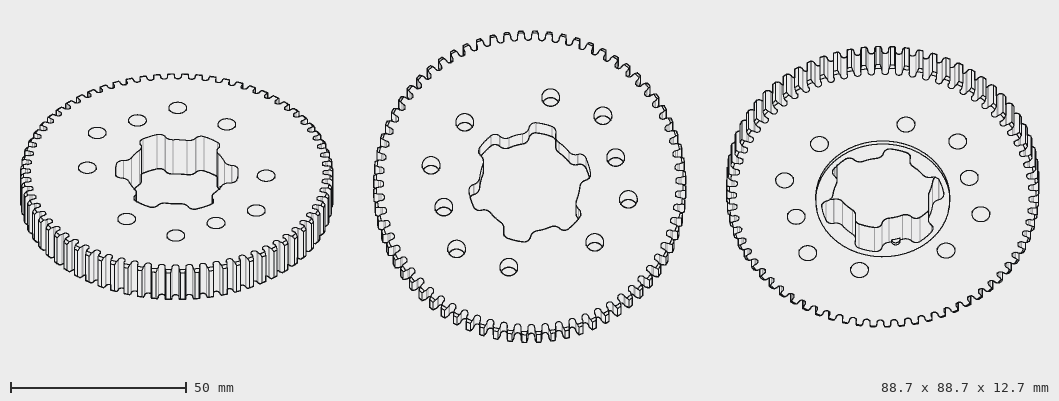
import cadquery as cq
import math

tooth_count = 68
outer_width = 88.75
pressure_angle = math.radians(14.5)
flank_start_radius = 42.95
dedendum_factor = 1.25
tip_chamfer = 0.75

total_height = 12.7
boss_height = 1.6
boss_radius = 19.1
gear_height = total_height - boss_height

slot_count = 6
slot_radius = 17.5
land_radius = 14.3
slot_half_width = 3.9
slot_corner_radius = 1.9
land_corner_radius = 2.3

notch_radius = 1.2
notch_height = 1.1

circle_hole_count = 6
hole_diameter = 5.1
hole_circle_radius = 25.5
side_hole_offset = hole_circle_radius / 2

module = outer_width / (tooth_count + 2)
pitch_radius = module * tooth_count / 2
root_radius = pitch_radius - dedendum_factor * module
base_radius = pitch_radius * math.cos(pressure_angle)
tooth_pitch_angle = 2 * math.pi / tooth_count


def polar_point(radius, angle):
    return (radius * math.cos(angle), radius * math.sin(angle))


def gap_half_angle(radius):
    """Half the angle of a tooth gap at the given radius, on involute flanks."""
    def involute(angle):
        return math.tan(angle) - angle

    flank_angle = math.acos(base_radius / radius)
    return tooth_pitch_angle / 4 + involute(flank_angle) - involute(pressure_angle)


tip_radius = outer_width / 2 / math.cos(gap_half_angle(outer_width / 2))


def make_gap_cutter():
    """One tooth gap on the +X axis, from its round bottom to beyond the tips."""
    cutter_radius = tip_radius + tip_chamfer
    flank_radii = (flank_start_radius, pitch_radius, cutter_radius)
    upper_flank = [polar_point(radius, gap_half_angle(radius)) for radius in flank_radii]
    lower_flank = [(x, -y) for x, y in reversed(upper_flank)]
    bottom_half_width = upper_flank[0][1]
    bottom_center_x = root_radius + bottom_half_width
    return (
        cq.Workplane("XY", origin=(0, 0, boss_height))
        .moveTo(*upper_flank[0])
        .threePointArc(*upper_flank[1:])
        .lineTo(*lower_flank[0])
        .threePointArc(*lower_flank[1:])
        .lineTo(bottom_center_x, -bottom_half_width)
        .threePointArc((root_radius, 0), (bottom_center_x, bottom_half_width))
        .close()
        .extrude(gear_height)
        .val()
    )


def make_toothed_disc():
    disc = (
        cq.Workplane("XY", origin=(0, 0, boss_height))
        .circle(tip_radius)
        .extrude(gear_height)
        .edges("%CIRCLE")
        .chamfer(tip_chamfer)
    )
    gap = make_gap_cutter()
    gaps = [
        gap.rotate(cq.Vector(0, 0, 0), cq.Vector(0, 0, 1), math.degrees(i * tooth_pitch_angle))
        for i in range(tooth_count)
    ]
    return disc.cut(cq.Workplane(cq.Compound.makeCompound(gaps)))


def make_bore_cutter():
    """Round core with six parallel-sided slots and rounded corners."""
    bore = cq.Workplane("XY").circle(land_radius).extrude(total_height)
    slot_length = 3 * slot_radius
    slot_bottoms = cq.Workplane("XY").circle(slot_radius).extrude(total_height)
    for i in range(slot_count // 2):
        slot = (
            cq.Workplane("XY")
            .rect(slot_length, 2 * slot_half_width)
            .extrude(total_height)
            .rotate((0, 0, 0), (0, 0, 1), i * 360 / slot_count)
        )
        bore = bore.union(slot.intersect(slot_bottoms))

    def edge_radius(edge):
        return math.hypot(edge.Center().x, edge.Center().y)

    middle_radius = (land_radius + slot_radius) / 2
    bore = bore.edges("|Z").filter(lambda e: edge_radius(e) > middle_radius).fillet(slot_corner_radius)
    tolerance = 0.01
    land_corners = bore.edges("|Z").filter(lambda e: edge_radius(e) < land_radius + tolerance)
    return land_corners.fillet(land_corner_radius)


def make_hole_cutters():
    circle_points = [
        polar_point(hole_circle_radius, i * 2 * math.pi / circle_hole_count)
        for i in range(circle_hole_count)
    ]
    side_points = [
        (side * hole_circle_radius, end * side_hole_offset)
        for side in (-1, 1)
        for end in (-1, 1)
    ]
    return (
        cq.Workplane("XY")
        .pushPoints(circle_points + side_points)
        .circle(hole_diameter / 2)
        .extrude(total_height)
    )


boss = cq.Workplane("XY").circle(boss_radius).extrude(total_height)
notch = cq.Workplane("XY").center(0, land_radius).circle(notch_radius).extrude(notch_height)
result = (
    make_toothed_disc()
    .union(boss)
    .cut(make_bore_cutter())
    .cut(make_hole_cutters())
    .cut(notch)
)